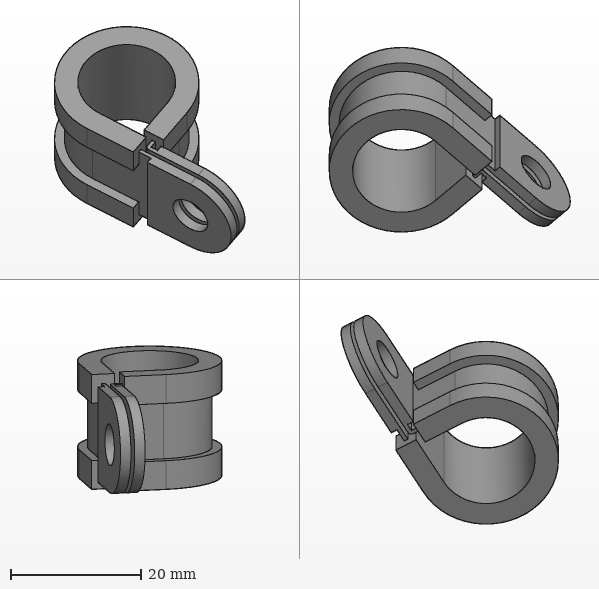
import cadquery as cq
import math

outer_radius = 11.095
inner_radius = 7.5
cushion_height = 18.0
front_leg_length = 8.55
side_leg_length = 6.5
lip_height = 4.5

strap_outer_radius = 9.6
strap_thickness = 0.65
strap_inner_radius = strap_outer_radius - strap_thickness

tab_radius = 7.5
tab_thickness = 1.65
tab_start_x = 10.78
tab_gap = 0.6
bolt_hole_radius = 3.2
overall_length = 37.3
tab_center_x = overall_length - outer_radius - tab_radius
front_tab_back_y = -strap_inner_radius
rear_tab_front_y = front_tab_back_y + tab_gap
bend_radius = strap_thickness


def box_between(x_range, y_range, height):
    """Box spanning two X and two Y limits, centred on Z = 0."""
    return (
        cq.Workplane("XY")
        .box(x_range[1] - x_range[0], y_range[1] - y_range[0], height)
        .translate((sum(x_range) / 2, sum(y_range) / 2, 0))
    )


def clamp_loop(outside, inside, height):
    """Three-quarter ring with a leg along +X and a leg along -Y."""
    diagonal = math.sqrt(0.5)
    outline = (
        cq.Workplane("XY", origin=(0, 0, -height / 2))
        .moveTo(front_leg_length, -outside)
        .lineTo(0, -outside)
        .threePointArc((-outside, 0), (0, outside))
        .threePointArc((outside * diagonal, outside * diagonal), (outside, 0))
        .lineTo(outside, -side_leg_length)
        .lineTo(inside, -side_leg_length)
        .lineTo(inside, 0)
        .threePointArc((inside * diagonal, inside * diagonal), (0, inside))
        .threePointArc((-inside, 0), (0, -inside))
        .lineTo(front_leg_length, -inside)
        .close()
    )
    return outline.extrude(height)


def tab(front_y):
    """Mounting tab with a rounded end, starting at front_y and growing toward +Y."""
    return (
        cq.Workplane("XZ", origin=(0, front_y, 0))
        .moveTo(tab_start_x, -tab_radius)
        .lineTo(tab_center_x, -tab_radius)
        .threePointArc((tab_center_x + tab_radius, 0), (tab_center_x, tab_radius))
        .lineTo(tab_start_x, tab_radius)
        .close()
        .moveTo(tab_center_x, 0)
        .circle(bolt_hole_radius)
        .extrude(-tab_thickness)
    )


groove_height = cushion_height - 2 * lip_height
cushion = clamp_loop(outer_radius, inner_radius, cushion_height)
groove = clamp_loop(outer_radius, strap_outer_radius, groove_height)
cushion = cushion.cut(groove)

strap_height = 2 * tab_radius
front_strap = box_between(
    (front_leg_length, tab_start_x), (-strap_outer_radius, front_tab_back_y), strap_height
)

rear_strap_down = box_between(
    (strap_inner_radius, strap_outer_radius), (rear_tab_front_y, -side_leg_length), strap_height
)
rear_strap_across = box_between(
    (strap_inner_radius, tab_start_x),
    (rear_tab_front_y, rear_tab_front_y + strap_thickness),
    strap_height,
)
rear_strap = rear_strap_down.union(rear_strap_across)
rear_strap = rear_strap.edges("|Z and <X and <Y").fillet(bend_radius)

front_tab = tab(front_tab_back_y - tab_thickness)
rear_tab = tab(rear_tab_front_y)

result = cushion.union(front_strap).union(rear_strap).union(front_tab).union(rear_tab)